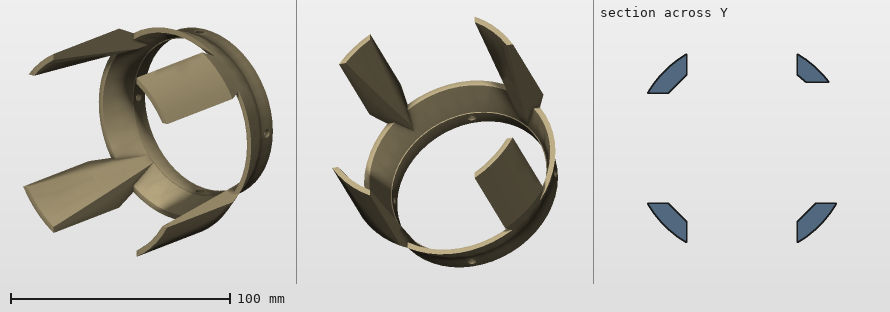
import cadquery as cq

total_length = 77.88

bore_radius = 37.0
collar_radius = 40.0
collar_length = 8.0
skirt_end = 22.0
wall = 2.5

arm_radius = 50.0
flare_end = 32.0
arm_edge = 25.0
narrow_arm_edge = 30.0

hole_diameter = 4.0
hole_depth = 4.2

flare_slope = (arm_radius - collar_radius) / (flare_end - collar_length)
skirt_radius = collar_radius + flare_slope * (skirt_end - collar_length)
skirt_bore_radius = collar_radius - wall


def revolve_profile(points):
    """Turn a profile of (radius, depth from the back face) points around the Y axis."""
    outline = [(radius, -depth) for radius, depth in points]
    return cq.Workplane("XY").polyline(outline).close().revolve(360, (0, 0), (0, 1))


def make_ring():
    """Collar and flared skirt, with a small inner step where they meet."""
    return revolve_profile([
        (bore_radius, 0),
        (collar_radius, 0),
        (collar_radius, collar_length),
        (skirt_radius, skirt_end),
        (skirt_radius - wall, skirt_end),
        (skirt_bore_radius, collar_length),
        (bore_radius, collar_length),
    ])


def make_arm_shell():
    """Full round shell from which the arms are cut; its inside is one long cone."""
    return revolve_profile([
        (skirt_bore_radius, collar_length),
        (collar_radius, collar_length),
        (arm_radius, flare_end),
        (arm_radius, total_length),
        (arm_radius - wall, total_length),
    ])


def make_arm(shell, x_sign, z_sign, z_edge):
    """Keep the corner of the shell outside the X and Z side faces of one arm."""
    x_size = arm_radius - arm_edge
    z_size = arm_radius - z_edge
    corner = cq.Workplane("XY").box(x_size, total_length, z_size).translate((
        x_sign * (arm_edge + x_size / 2),
        -total_length / 2,
        z_sign * (z_edge + z_size / 2),
    ))
    return shell.intersect(corner)


def drill_collar(body):
    """Two crossing drills, along X and along Z, make the four collar holes."""
    for direction in [cq.Vector(1, 0, 0), cq.Vector(0, 0, 1)]:
        start = cq.Vector(0, -hole_depth, 0) - direction * arm_radius
        drill = cq.Solid.makeCylinder(hole_diameter / 2, 2 * arm_radius, start, direction)
        body = body.cut(cq.Workplane(obj=drill))
    return body


arm_shell = make_arm_shell()
body = make_ring()
for x_sign in (-1, 1):
    for z_sign in (-1, 1):
        is_narrow = x_sign < 0 and z_sign > 0
        z_edge = narrow_arm_edge if is_narrow else arm_edge
        body = body.union(make_arm(arm_shell, x_sign, z_sign, z_edge))

result = drill_collar(body)